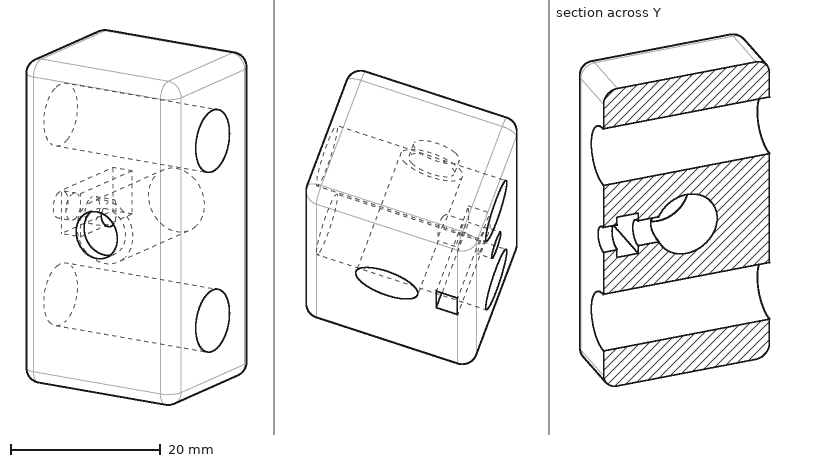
import cadquery as cq

width = 24.0
depth = 20.0
height = 45.0
edge_radius = 2.0

rod_hole_diameter = 8.5
rod_hole_spacing = 25.0

narrow_bore_diameter = 6.5
narrow_bore_length = 2.0
wide_bore_diameter = 8.8

screw_hole_diameter = 3.7

nut_width = 6.0
nut_slot_thickness = 3.0
nut_slot_wall = 2.0


def rounded_block():
    return cq.Workplane("XY").box(width, depth, height).edges().fillet(edge_radius)


def rod_holes():
    return (
        cq.Workplane("YZ", origin=(-width / 2, 0, 0))
        .pushPoints([(0, -rod_hole_spacing / 2), (0, rod_hole_spacing / 2)])
        .circle(rod_hole_diameter / 2)
        .extrude(width)
    )


def stepped_hole():
    back_face = cq.Workplane("XZ", origin=(0, depth / 2, 0))
    narrow_bore = back_face.circle(narrow_bore_diameter / 2).extrude(depth)
    wide_bore = back_face.circle(wide_bore_diameter / 2).extrude(depth - narrow_bore_length)
    return narrow_bore.union(wide_bore)


def screw_hole():
    return (
        cq.Workplane("YZ", origin=(-width / 2, 0, 0))
        .circle(screw_hole_diameter / 2)
        .extrude(width / 2)
    )


def nut_slot():
    slot_length = depth / 2 + nut_width / 2
    slot_centre_x = -width / 2 + nut_slot_wall + nut_slot_thickness / 2
    return (
        cq.Workplane("XZ", origin=(slot_centre_x, depth / 2, 0))
        .rect(nut_slot_thickness, nut_width)
        .extrude(slot_length)
    )


result = (
    rounded_block()
    .cut(rod_holes())
    .cut(stepped_hole())
    .cut(screw_hole())
    .cut(nut_slot())
)